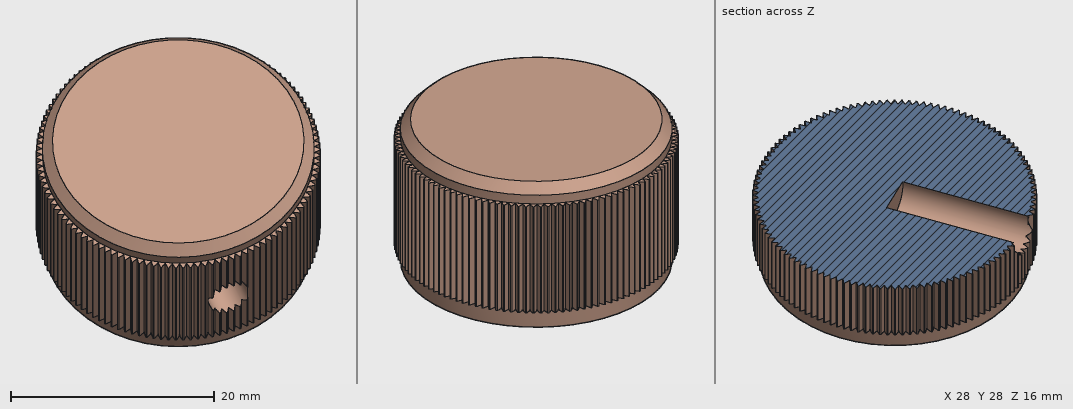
import cadquery as cq
import math

knurl_diameter = 28.0
valley_diameter = 26.93
core_diameter = 26.8
height = 16.0
band_height = 2.0
top_chamfer = 1.0
bottom_fillet = 0.1
tooth_count = 120
tip_width = 0.1
screw_hole_diameter = 4.2
screw_hole_height = 7.5

core_radius = core_diameter / 2
valley_radius = valley_diameter / 2
knurl_height = height - 2 * band_height
tooth_pitch = 2 * math.pi / tooth_count
half_tip_angle = tip_width / knurl_diameter
tip_radius = knurl_diameter / 2 / math.cos(tooth_pitch / 2 - half_tip_angle)


def polar(radius, angle):
    return (radius * math.cos(angle), radius * math.sin(angle))


def make_core():
    """Plain cylinder with a chamfered top rim and a lightly rounded bottom rim."""
    core = cq.Workplane("XY").circle(core_radius).extrude(height)
    return core.edges(">Z").chamfer(top_chamfer).edges("<Z").fillet(bottom_fillet)


def make_knurl():
    """Straight knurl: flat-tipped teeth meeting in sharp valleys, with a valley on +X."""
    points = []
    for tooth in range(tooth_count):
        valley_angle = tooth * tooth_pitch
        tip_angle = valley_angle + tooth_pitch / 2
        points.append(polar(valley_radius, valley_angle))
        points.append(polar(tip_radius, tip_angle - half_tip_angle))
        points.append(polar(tip_radius, tip_angle + half_tip_angle))
    return cq.Workplane("XY", origin=(0, 0, band_height)).polyline(points).close().extrude(knurl_height)


def make_screw_hole():
    """Radial hole that enters the knurl from +X and ends at the knob's axis."""
    return (
        cq.Workplane("YZ", origin=(0, 0, screw_hole_height))
        .circle(screw_hole_diameter / 2)
        .extrude(tip_radius)
    )


def make_knob():
    """Knurled core with the screw hole cut into its side."""
    return make_core().union(make_knurl()).cut(make_screw_hole())


knob = make_knob()

result = cq.Compound.makeCompound([knob.solids().val()])